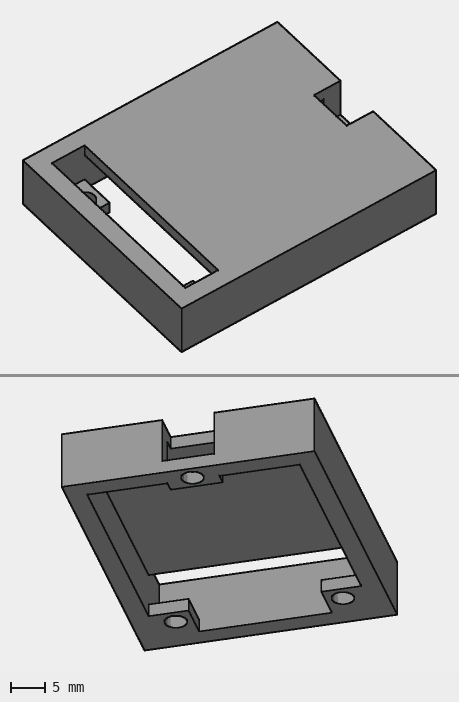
import cadquery as cq

width = 38.0
length = 46.5
height = 9.0
wall = 3.0
roof = 2.0

inner_width = width - 2 * wall
inner_length = length - 2 * wall

slot_length = 5.95
notch_width = 7.8
notch_length = 4.85

tab_width = 6.0
tab_thickness = 2.0
hole_diameter = 3.3
front_hole_x = 12.55
front_hole_y = 6.45
rear_hole_y = length - 2.45


def block(x_size, y_size, z_size, x_center, y_start, z_start):
    """Box centred on x_center, growing toward +Y and +Z from its start."""
    return (
        cq.Workplane("XY")
        .box(x_size, y_size, z_size, centered=(True, False, False))
        .translate((x_center, y_start, z_start))
    )


shell = block(width, length, height, 0, 0, 0)
shell = shell.cut(block(inner_width, inner_length, height - roof, 0, wall, 0))

shell = shell.cut(block(inner_width, slot_length, roof, 0, wall, height - roof))
rear_tab_y = length - notch_length
shell = shell.cut(block(notch_width, notch_length, height, 0, rear_tab_y, 0))

front_tab_x = (inner_width - tab_width) / 2
for side in (-1, 1):
    shell = shell.union(block(tab_width, slot_length, tab_thickness, side * front_tab_x, wall, 0))
shell = shell.union(block(notch_width, notch_length, tab_thickness, 0, rear_tab_y, 0))

hole_centers = [(-front_hole_x, front_hole_y), (front_hole_x, front_hole_y), (0, rear_hole_y)]
holes = cq.Workplane("XY").pushPoints(hole_centers).circle(hole_diameter / 2).extrude(tab_thickness)

result = shell.cut(holes)